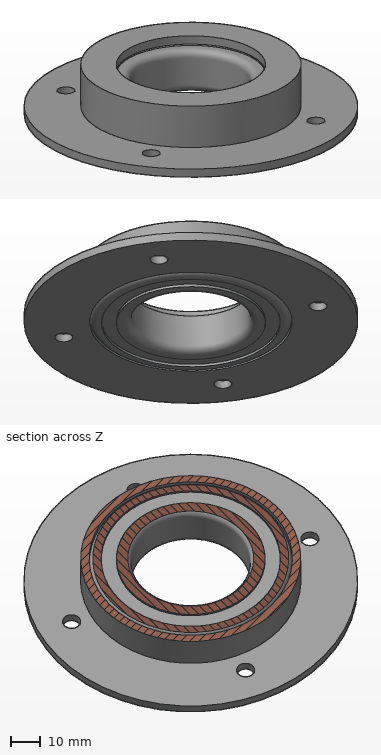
import cadquery as cq

bearing_bore = 40.0
inner_race_diameter = 50.0
outer_race_bore = 60.0
bearing_diameter = 68.0
bearing_width = 15.0
bearing_corner_radius = 2.5
race_groove_depth = 1.0

flange_diameter = 112.0
flange_thickness = 3.0
ring_diameter = 74.0
bearing_protrusion = 0.5

pocket_depth = bearing_width
lip_thickness = 3.0
lip_opening_diameter = 50.0

hole_diameter = 6.0
hole_circle_diameter = 88.0
hole_count = 4

bearing_top = bearing_width
flange_bottom = bearing_protrusion
flange_top = flange_bottom + flange_thickness
pocket_top = flange_bottom + pocket_depth
housing_top = pocket_top + lip_thickness


def disc(diameter, bottom, top):
    """Solid cylinder about the Z axis between two levels."""
    return cq.Workplane("XY").workplane(offset=bottom).circle(diameter / 2).extrude(top - bottom)


def tube(outer_diameter, inner_diameter, bottom, top):
    """Hollow cylinder about the Z axis between two levels."""
    return disc(outer_diameter, bottom, top).cut(disc(inner_diameter, bottom, top))


def make_bearing():
    """Ring with rounded edges and a groove between the races on both faces."""
    ring = tube(bearing_diameter, bearing_bore, 0, bearing_top)
    ring = ring.faces("<Z or >Z").edges().fillet(bearing_corner_radius)
    for groove_bottom in (0, bearing_top - race_groove_depth):
        groove_top = groove_bottom + race_groove_depth
        ring = ring.cut(tube(outer_race_bore, inner_race_diameter, groove_bottom, groove_top))
    return ring


def mounting_holes():
    """Cutters for the holes through the flange, the first one on the +X axis."""
    return (
        cq.Workplane("XY")
        .workplane(offset=flange_bottom)
        .polarArray(hole_circle_diameter / 2, 0, 360, hole_count)
        .circle(hole_diameter / 2)
        .extrude(flange_thickness)
    )


def make_housing():
    """Flange and ring, bored from below for the bearing and opened through the lip."""
    body = disc(flange_diameter, flange_bottom, flange_top)
    body = body.union(disc(ring_diameter, flange_bottom, housing_top))
    body = body.cut(disc(bearing_diameter, flange_bottom, pocket_top))
    body = body.cut(disc(lip_opening_diameter, pocket_top, housing_top))
    return body.cut(mounting_holes())


bearing = make_bearing().solids()
housing = make_housing().solids()

result = cq.Compound.makeCompound([housing.val(), bearing.val()])